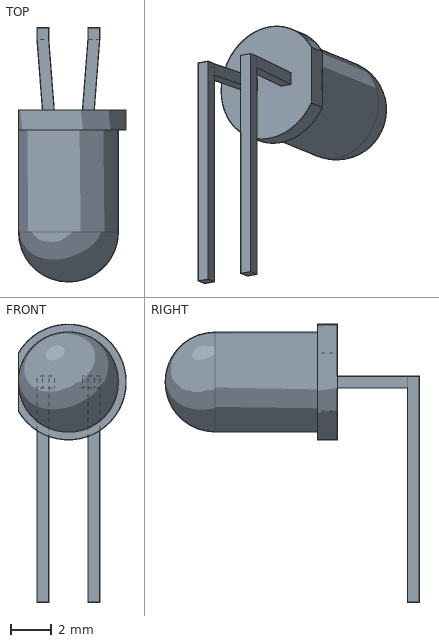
import cadquery as cq

lens_diameter = 5.0
lens_radius = lens_diameter / 2
lens_straight_length = 5.1
flange_diameter = 5.78
flange_radius = flange_diameter / 2
flange_thickness = 1.0
flat_distance = lens_radius

lead_width = 0.6
lead_pitch_at_flange = 2.0
lead_pitch_at_bend = 2.55
lead_reach = 4.1
lead_depth = 11.01


def make_flange():
    disc = cq.Workplane("XZ").circle(flange_radius).extrude(flange_thickness)
    keep = cq.Workplane("XY").box(
        flat_distance + flange_radius,
        2 * flange_thickness,
        flange_diameter,
    )
    return disc.intersect(keep.translate(((flange_radius - flat_distance) / 2, 0, 0)))


def make_lens():
    """Revolve the half profile of the cylinder and its hemispherical dome."""
    base_y = -flange_thickness
    dome_y = base_y - lens_straight_length
    arc_offset = lens_radius * 0.5 ** 0.5
    return (
        cq.Workplane("XY")
        .moveTo(0, base_y)
        .lineTo(lens_radius, base_y)
        .lineTo(lens_radius, dome_y)
        .threePointArc((arc_offset, dome_y - arc_offset), (0, dome_y - lens_radius))
        .close()
        .revolve(360, (0, 0, 0), (0, 1, 0))
    )


def make_lead(side):
    """Splayed horizontal run and vertical leg; side is -1 or +1 in X."""
    half = lead_width / 2
    start_x = side * lead_pitch_at_flange / 2
    bend_x = side * lead_pitch_at_bend / 2
    bend_y = lead_reach - lead_width
    run = (
        cq.Workplane("XY")
        .workplane(offset=-half)
        .polyline([
            (start_x - half, 0),
            (start_x + half, 0),
            (bend_x + half, bend_y),
            (bend_x - half, bend_y),
        ])
        .close()
        .extrude(lead_width)
    )
    leg = (
        cq.Workplane("XY")
        .workplane(offset=-lead_depth)
        .center(bend_x, lead_reach - half)
        .rect(lead_width, lead_width)
        .extrude(lead_depth + half)
    )
    return run.union(leg)


result = make_flange().union(make_lens())
for side in (-1, 1):
    result = result.union(make_lead(side))